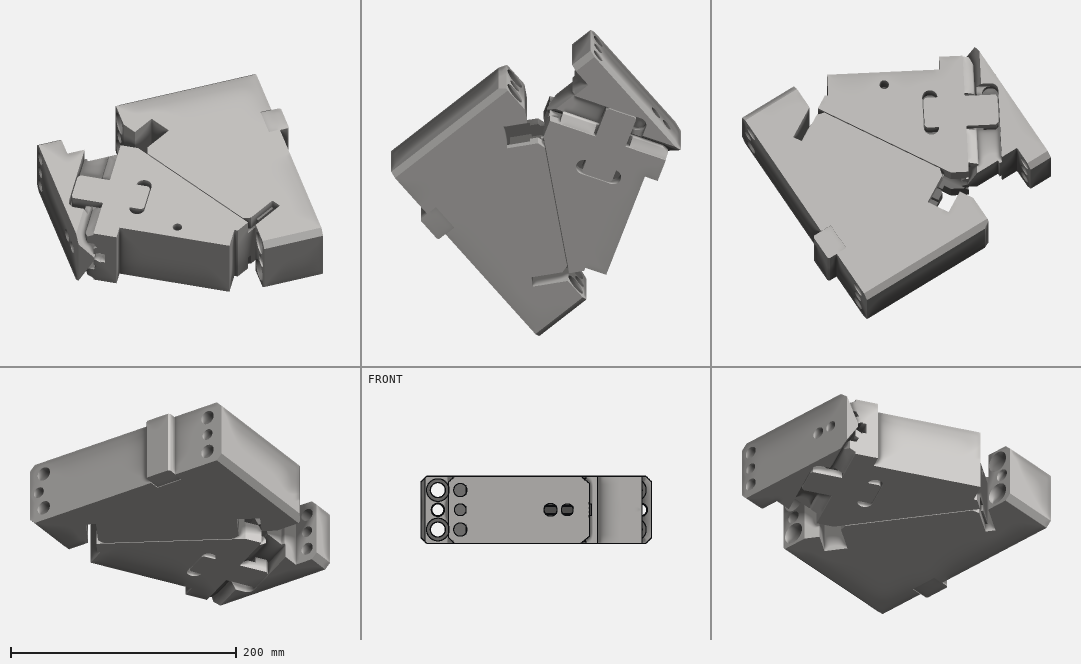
import cadquery as cq
import math


height = 60.0
half_height = height / 2
slide_angle = 30.0
edge_chamfer = 5.3
far = 262.8

cos_slide = math.cos(math.radians(slide_angle))
sin_slide = math.sin(math.radians(slide_angle))
slider_corner = (51.5, 69.6)
slider_end_height = 16.0


def lower(w, n):
    """XY point from coordinates along and square to the base slide."""
    return (
        slider_corner[0] + w * cos_slide + n * sin_slide,
        slider_corner[1] - w * sin_slide + n * cos_slide,
    )


def upper(u, v):
    """XY point from coordinates along and square to the holder slide."""
    x0, y0 = lower(0, slider_end_height)
    return (x0 + u * cos_slide - v * sin_slide, y0 + u * sin_slide + v * cos_slide)


def u_at_y(v, y):
    """Position along the holder slide where the line of constant v reaches the given Y."""
    return (y - upper(0, v)[1]) / sin_slide


def v_at_y(u, y):
    """Position square to the holder slide where the line of constant u reaches the given Y."""
    return (y - upper(u, 0)[1]) / cos_slide


def prism(points, bottom, top):
    """Vertical prism over an XY outline."""
    return cq.Workplane("XY").workplane(offset=bottom).polyline(points).close().extrude(top - bottom)


def both_sides(feature):
    """A feature of the upper half together with its mirror image below Z = 0."""
    return feature.union(feature.mirror("XY"))


def lower_box(w0, w1, n0, n1, bottom, top):
    """Block aligned with the base slide."""
    return prism([lower(w0, n0), lower(w1, n0), lower(w1, n1), lower(w0, n1)], bottom, top)


def upper_box(u0, u1, v0, v1, half_width):
    """Block aligned with the holder slide and centred on Z = 0."""
    return prism([upper(u0, v0), upper(u1, v0), upper(u1, v1), upper(u0, v1)], -half_width, half_width)


def lower_rail(profile, w0, w1):
    """Bar along the base slide with its profile given in (n, z)."""
    x, y = lower(w0, 0)
    plane = cq.Plane(origin=(x, y, 0), xDir=(sin_slide, cos_slide, 0), normal=(cos_slide, -sin_slide, 0))
    return cq.Workplane(plane).polyline(profile).close().extrude(w1 - w0)


def y_hole(x, z, radius, y0, y1):
    """Cylinder along Y."""
    return cq.Workplane("XZ", origin=(x, y0, z)).circle(radius).extrude(y0 - y1)


flank_angle = 60.0
flank_slope = math.tan(math.radians(flank_angle))
neck_half = 17.3
neck_top = -7.7
nose_height = 1.3


def flank_n(z):
    """n of the V flank at half width z."""
    return neck_top - (z - neck_half) / flank_slope


def flank_z(n):
    """Half width of the V at height n."""
    return neck_half - (n - neck_top) * flank_slope


base_left = 24.7
base_right = 149.5
flange_height = 21.5
block_left = 47.0
shoulder_height = 39.6
neck_left = 50.2
channel_floor = -30.0
channel_full_end = 72.3
channel_end = 82.3
channel_end_radius = 6.5
undercut_top = -15.3
undercut_roof_radius = 7.7
shelf_half = 22.8
flange_hole_x = 35.0
flange_hole_pitch = 17.5
flange_screw_radius = 6.0
dowel_radius = 5.3
nose_screw_x = 115.2
nose_screw_radius = 5.7
nose_dowel_x = 130.0


def hook_channel():
    """Clearance for one hook beside the neck, closed at its right end."""
    main = lower_box(-far, channel_full_end, channel_floor, far, neck_half, far)
    end = lower_box(hook_left, channel_end, channel_floor, undercut_top, neck_half, far)
    corner = cq.selectors.NearestToPointSelector(lower(channel_end, channel_floor) + (far / 2,))
    roof_corner = cq.selectors.NearestToPointSelector(lower(channel_end, undercut_top) + (far / 2,))
    end = end.edges("|Z").edges(roof_corner).fillet(undercut_roof_radius)
    end = end.edges("|Z").edges(corner).fillet(channel_end_radius)
    shelf_floor = undercut_top - undercut_roof_radius
    shelf = lower_box(channel_full_end, channel_end, shelf_floor, far, shelf_half, far)
    return main.union(end).union(shelf)


def make_base():
    outline = [
        (base_left, 0),
        (base_right, 0),
        (base_right, far),
        (neck_left, far),
        (neck_left, shoulder_height),
        (block_left, shoulder_height),
        (block_left, flange_height),
        (base_left, flange_height),
    ]
    base = prism(outline, -half_height, half_height)
    base = base.faces("<X").edges("|Y").chamfer(edge_chamfer)
    v_profile = [
        (-far, -half_height),
        (flank_n(half_height), -half_height),
        (nose_height, -flank_z(nose_height)),
        (nose_height, flank_z(nose_height)),
        (flank_n(half_height), half_height),
        (-far, half_height),
    ]
    base = base.intersect(lower_rail(v_profile, -far, far))
    base = base.cut(both_sides(hook_channel()))
    for z in (-flange_hole_pitch, flange_hole_pitch):
        base = base.cut(y_hole(flange_hole_x, z, flange_screw_radius, 0, flange_height))
    base = base.cut(y_hole(flange_hole_x, 0, dowel_radius, 0, flange_height))
    base = base.cut(y_hole(nose_screw_x, 0, nose_screw_radius, 0, far))
    return base.cut(y_hole(nose_dowel_x, 0, dowel_radius, 0, far))


neck_width_half = 16.0
head_width_half = 22.3
head_bottom = 13.4
slot_top = 34.2

slider_length = 109.7
slider_foot_top = 21.0
slider_back = 97.7
slider_shoulder_n = 121.0
slider_shoulder_w = 78.0
slider_right = 132.7
slider_right_bottom = -13.4
slider_lowest_y = 10.0
neck_start = 6.5
neck_step_top = 3.7
tee_start = 16.2
head_top = 33.3
trough_half = 12.7
trough_floor_v = -14.2
trough_radius = 8.5
guide_wall = 16.6
pad_thickness = 6.8
pad_inner_z = 3.0
pad_outer_z = 8.8
relief_half = 5.3
relief_top = 10.3
lip_start = 9.5
lip_depth = 9.2
lip_root_z = 28.0
lip_tip_z = 22.8
lip_tip_radius = 2.6
lip_gap_left = 2.2
lip_gap_right = 3.7
hook_left = 43.4
hook_right = 71.6
hook_top = 37.0
hook_bottom = -29.0
hook_corner_radius = 3.5
hook_lower_chamfer = 2.6
pocket_end_radius = 6.8
pocket_n = 31.0
pin_hole_centre = (161.2, 88.3)
pin_hole_radius = 4.2
pin_hole_depth = 17.5
drill_tip_angle = 118.0


def pad_offset(z):
    """Point in (n, z) one pad thickness behind the flank at half width z."""
    angle = math.radians(flank_angle)
    return (flank_n(z) + pad_thickness * math.sin(angle), z + pad_thickness * math.cos(angle))


def guide_recess():
    """V recess in the underside with a slot above the nose."""
    inner_n, inner_z = pad_offset(pad_inner_z)
    half = [
        (-far, guide_wall),
        (inner_n - (guide_wall - inner_z) / flank_slope, guide_wall),
        (inner_n, inner_z),
        (inner_n, relief_half),
        (relief_top, relief_half),
    ]
    profile = half + [(n, -z) for n, z in reversed(half)]
    return lower_rail(profile, -far, far)


def wear_pad():
    """Pad that fills the recess between the slider and the base flank, level with the underside."""
    outer_n, outer_z = pad_offset(pad_outer_z)
    profile = [
        (flank_n(pad_inner_z), pad_inner_z),
        (0, flank_z(0)),
        (0, outer_z - outer_n / flank_slope),
        (outer_n, outer_z),
        pad_offset(pad_inner_z),
    ]
    return lower_rail(profile, 0, slider_length)


def guide_lip():
    """Lip hanging from the underside outside the V, cut back where the hook passes."""
    profile = [
        (0, lip_root_z),
        (-lip_depth, lip_tip_z),
        (-lip_depth, flank_z(-lip_depth)),
        (flank_n(guide_wall), guide_wall),
        (0, guide_wall),
    ]
    gap = lower_box(hook_left - lip_gap_left, hook_right + lip_gap_right, -far, 0, lip_tip_z, far)
    lip = lower_rail(profile, lip_start, slider_length)
    tip_middle = lower((lip_start + slider_length) / 2, -lip_depth) + (lip_tip_z,)
    lip = lip.edges(cq.selectors.NearestToPointSelector(tip_middle)).fillet(lip_tip_radius)
    return lip.cut(gap)


def hook_pocket():
    """Round-ended pocket around the upper end of the hook."""
    pocket_low = pocket_n - pocket_end_radius
    pocket_high = pocket_n + pocket_end_radius
    pocket = lower_box(hook_left, hook_right, pocket_low, pocket_high, neck_half, half_height)
    for w in (hook_left, hook_right):
        end = cq.Workplane("XY").workplane(offset=neck_half).center(*lower(w, pocket_n))
        pocket = pocket.union(end.circle(pocket_end_radius).extrude(half_height - neck_half))
    return pocket


def hook():
    """Plate that reaches down beside the base neck, notched on its inner side where the lip runs."""
    plate = lower_box(hook_left, hook_right, hook_bottom, hook_top, neck_half, half_height)
    for w in (hook_left, hook_right):
        top_corner = cq.selectors.NearestToPointSelector(lower(w, hook_top) + (half_height,))
        plate = plate.edges("|Z").edges(top_corner).fillet(hook_corner_radius)
    low_corner = cq.selectors.NearestToPointSelector(lower(hook_left, hook_bottom) + (half_height,))
    plate = plate.edges("|Z").edges(low_corner).chamfer(hook_lower_chamfer)
    return plate.cut(lower_box(hook_left, hook_right, undercut_top, 0, neck_half, lip_tip_z))


def end_trough():
    """Round-cornered trough along the holder slide, from the left end to the T."""
    trough = upper_box(tee_start - far, tee_start, trough_floor_v, far, trough_half)
    for z in (-trough_half, trough_half):
        floor_corner = upper(tee_start - far / 2, trough_floor_v) + (z,)
        trough = trough.edges(cq.selectors.NearestToPointSelector(floor_corner)).fillet(trough_radius)
    return trough


def pin_hole():
    """Blind drilled hole in the top with a conical end."""
    x, y = pin_hole_centre
    depth_at_tip = pin_hole_depth + pin_hole_radius / math.tan(math.radians(drill_tip_angle / 2))
    section = [
        (0, half_height),
        (pin_hole_radius, half_height),
        (pin_hole_radius, half_height - pin_hole_depth),
        (0, half_height - depth_at_tip),
    ]
    plane = cq.Workplane("XZ", origin=(x, y, 0))
    return plane.polyline(section).close().revolve(360, (0, 0), (0, 1))


def make_slider():
    outline = [
        lower(0, 0),
        lower(slider_length, 0),
        lower(slider_length, slider_foot_top),
        lower(slider_back, slider_foot_top),
        lower(slider_back, slider_shoulder_n),
        lower(slider_shoulder_w, slider_shoulder_n),
        upper(slider_right, slider_right_bottom),
        upper(slider_right, 0),
        upper(0, 0),
    ]
    slider = prism(outline, -half_height, half_height)
    slider = slider.union(upper_box(neck_start, slider_right, 0, neck_step_top, neck_width_half))
    slider = slider.union(upper_box(tee_start, slider_right, 0, head_bottom, neck_width_half))
    slider = slider.union(upper_box(tee_start, slider_right, head_bottom, head_top, head_width_half))
    slider = slider.cut(end_trough()).cut(guide_recess())
    slider = slider.union(both_sides(wear_pad())).union(both_sides(guide_lip()))
    slider = slider.cut(both_sides(hook_pocket())).union(both_sides(hook()))
    slider = slider.cut(pin_hole())
    kept_space = cq.Workplane("XY").box(far, far, far).translate((far / 2, slider_lowest_y + far / 2, 0))
    return slider.intersect(kept_space)


holder_width = 205.0
holder_top = 210.2
left_foot_y = 79.7
right_foot_y = 155.5
tongue_bottom = 0.9
tongue_left = 5.5
tongue_right = 130.7
tongue_chamfer = 5.0
left_slot_left = -15.3
right_slot_right = 139.7
foot_slope_v = 12.3
foot_chamfer_x = 3.5
foot_chamfer_y = 6.1
screw_pitch = 17.5
screw_radius = 6.5
screw_head_radius = 10.0
dowel_entry_radius = 6.0
seat_y = 188.3
left_hole_x = 15.1
right_screw_x = 190.0
right_dowel_x = 195.3
key_left = 50.0
key_right = 75.3
key_bottom = 200.2
key_top = 219.0
key_half_height = 29.3
key_chamfer = 1.5


def counterbored_hole(x, z, radius, entry_radius, foot_y):
    """Through hole along Y, wider from the foot up to the seat."""
    return y_hole(x, z, radius, 0, far).union(y_hole(x, z, entry_radius, foot_y, seat_y))


def foot_holes(screw_x, dowel_x, foot_y):
    """Two screw holes and the dowel hole between them."""
    holes = counterbored_hole(dowel_x, 0, dowel_radius, dowel_entry_radius, foot_y)
    for z in (-screw_pitch, screw_pitch):
        holes = holes.union(counterbored_hole(screw_x, z, screw_radius, screw_head_radius, foot_y))
    return holes


def key_block(half_width):
    """Block over the key's outline."""
    corners = [(key_left, key_bottom), (key_right, key_bottom), (key_right, key_top), (key_left, key_top)]
    return prism(corners, -half_width, half_width)


def make_holder():
    chamfer_top = tongue_bottom + tongue_chamfer
    outline = [
        (0, holder_top),
        (holder_width, holder_top),
        (holder_width, right_foot_y),
        upper(right_slot_right, v_at_y(right_slot_right, right_foot_y)),
        upper(right_slot_right, slot_top),
        upper(tongue_right, slot_top),
        upper(tongue_right, chamfer_top),
        upper(tongue_right - tongue_chamfer, tongue_bottom),
        upper(tongue_left + tongue_chamfer, tongue_bottom),
        upper(tongue_left, chamfer_top),
        upper(tongue_left, slot_top),
        upper(left_slot_left, slot_top),
        upper(left_slot_left, foot_slope_v),
        upper(u_at_y(foot_slope_v, left_foot_y), foot_slope_v),
        (0, left_foot_y),
    ]
    holder = prism(outline, -half_height, half_height)
    holder = holder.faces("<X or >X").edges("|Y").chamfer(edge_chamfer)
    foot_corner = [(0, left_foot_y), (foot_chamfer_x, left_foot_y), (0, left_foot_y + foot_chamfer_y)]
    holder = holder.cut(prism(foot_corner, -half_height, half_height))
    holder = holder.cut(upper_box(tongue_left, tongue_right, 0, head_bottom, neck_width_half))
    holder = holder.cut(upper_box(tongue_left, tongue_right, head_bottom, slot_top, head_width_half))
    holder = holder.cut(foot_holes(left_hole_x, left_hole_x, left_foot_y))
    holder = holder.cut(foot_holes(right_screw_x, right_dowel_x, right_foot_y))
    key = key_block(key_half_height).faces(">Y").edges("|Z").chamfer(key_chamfer)
    return holder.cut(key_block(half_height)).union(key)


base = make_base()
slider = make_slider()
holder = make_holder()

result = cq.Compound.makeCompound([base.val(), slider.val(), holder.val()])